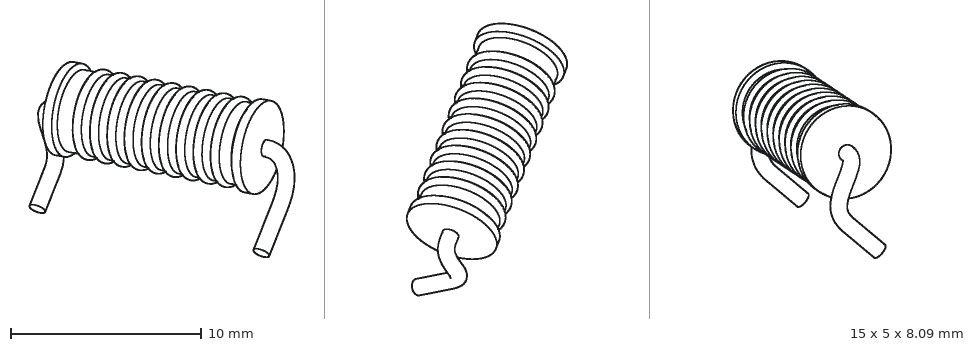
import cadquery as cq
import math

flange_radius = 5.0 / 2
barrel_radius = 4.4 / 2
face_half_length = 6.01
rim_half_length = 5.83
rim_width = 0.52
shoulder_width = 0.18
face_flat_radius = 0.67

ring_count = 9
ring_pitch = 1.02
ring_wire_radius = 0.25
ring_path_radius = 2.17
winding_center_x = 0.1

lead_radius = 0.9 / 2
lead_reach = 7.48 - lead_radius
lead_embed = 0.3
tail_length = 2.33
tail_slope = 41.4
tail_start = (-6.61, 0.13, -3.71)
root_handle = 1.03
tail_handle = 1.25
bend_controls = [(-7.32, -0.24, -0.46), (-7.05, 1.0, -1.91)]


def make_bobbin():
    rim_inner = rim_half_length - rim_width
    barrel_end = rim_inner - shoulder_width
    half_profile = [
        (barrel_end, barrel_radius),
        (rim_inner, flange_radius),
        (rim_half_length, flange_radius),
        (face_half_length, face_flat_radius),
        (face_half_length, 0),
    ]
    mirrored_profile = [(-x, r) for x, r in reversed(half_profile)]
    profile = cq.Workplane("XY").polyline(mirrored_profile + half_profile).close()
    return profile.revolve(360, (0, 0, 0), (1, 0, 0))


def make_ring(x):
    axis = cq.Vector(1, 0, 0)
    return cq.Solid.makeTorus(ring_path_radius, ring_wire_radius, cq.Vector(x, 0, 0), axis)


def make_left_lead():
    slope = math.radians(tail_slope)
    tail_direction = cq.Vector(0, -math.cos(slope), -math.sin(slope))
    root = cq.Vector(-face_half_length, 0, 0)
    tail_root = cq.Vector(*tail_start)

    controls = [root, root - cq.Vector(root_handle, 0, 0)]
    controls += [cq.Vector(*point) for point in bend_controls]
    controls += [tail_root - tail_direction * tail_handle, tail_root]
    bend_path = cq.Edge.makeBezier(controls)
    bend = (
        cq.Workplane("YZ", origin=root.toTuple())
        .circle(lead_radius)
        .sweep(cq.Workplane(cq.Wire.assembleEdges([bend_path])))
    )
    stub = cq.Solid.makeCylinder(lead_radius, lead_embed, root, cq.Vector(1, 0, 0))
    tail = cq.Solid.makeCylinder(lead_radius, tail_length, tail_root, tail_direction)
    return bend.union(cq.Workplane(stub)).union(cq.Workplane(tail))


result = make_bobbin()
for index in range(ring_count):
    ring_x = winding_center_x + (index - (ring_count - 1) / 2) * ring_pitch
    result = result.union(cq.Workplane(make_ring(ring_x)))

left_lead = make_left_lead()
result = result.union(left_lead).union(left_lead.mirror("YZ"))